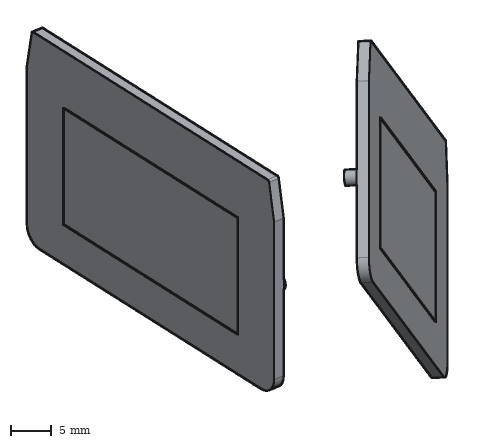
import cadquery as cq

plate_width = 48.0
plate_height = 30.5
plate_thickness = 1.55
lower_corner_radius = 2.5

taper_height = 5.45
taper_inset = 1.0
upper_corner_radius = 0.3

recess_width = 33.85
recess_height = 16.65
recess_bottom = 5.65
recess_depth = 0.1

pin_length = 2.0
pin_offset = 21.0
pin_height = 13.7
left_pin_diameter = 2.0
right_pin_diameter = 1.85


def make_plate():
    """Symmetric plate with tapered upper sides and rounded corners."""
    half_width = plate_width / 2
    half_top = half_width - taper_inset
    taper_start = plate_height - taper_height
    outline = [
        (-half_width, 0),
        (half_width, 0),
        (half_width, taper_start),
        (half_top, plate_height),
        (-half_top, plate_height),
        (-half_width, taper_start),
    ]
    plate = cq.Workplane("XZ").polyline(outline).close().extrude(-plate_thickness)
    plate = plate.faces("<Z").edges("|Y").fillet(lower_corner_radius)
    return plate.faces(">Z").edges("|Y").fillet(upper_corner_radius)


def make_recess():
    """Block removed from the front face to form the label recess."""
    return (
        cq.Workplane("XY")
        .box(recess_width, recess_depth, recess_height, centered=(True, False, False))
        .translate((0, 0, recess_bottom))
    )


def make_pin(x, diameter):
    """Round pin standing on the back face at the given X position."""
    return (
        cq.Workplane("XZ", origin=(x, plate_thickness, pin_height))
        .circle(diameter / 2)
        .extrude(-pin_length)
    )


result = make_plate().cut(make_recess())
for pin_x, pin_diameter in [(-pin_offset, left_pin_diameter), (pin_offset, right_pin_diameter)]:
    result = result.union(make_pin(pin_x, pin_diameter))